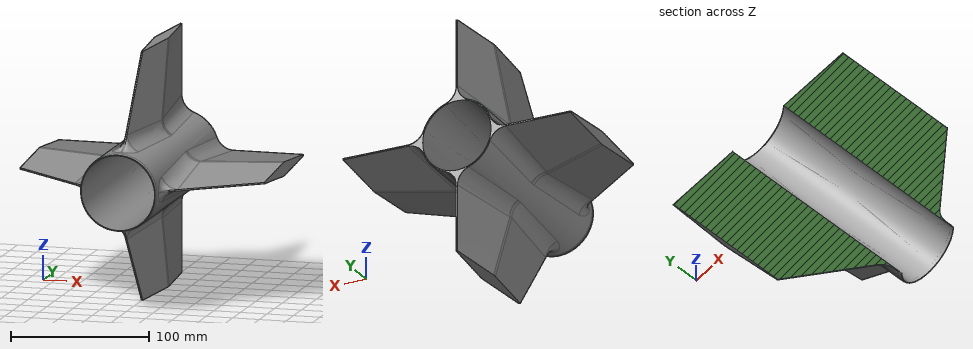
import cadquery as cq

LENGTH = 164.5
TUBE_RADIUS = 28.5
BORE_RADIUS = 27.5
FRONT_TAPER_LENGTH = 3.0
FRONT_TAPER_DEPTH = 0.4

FIN_COUNT = 4
FIN_ANGLE = 360 / FIN_COUNT
ROOT_RADIUS = 18.4
TIP_RADIUS = 92.0
ROOT_LEADING_Y = 6.3
TIP_LEADING_Y = 63.0
ROOT_RIDGE_Y = 84.0
TIP_RIDGE_Y = 114.0
ROOT_THICKNESS = 15.0
TIP_THICKNESS = 10.3
RIDGE_WIDTH = 3.0
EDGE_THICKNESS = 1.1
ROOT_FILLET = 13.5

SEAM_ANGLE = 90
WEDGE_REACH = 1.2 * TIP_RADIUS
SELECT_MARGIN = 0.5


def rotate_about_tube(shape, angle):
    return shape.rotate((0, 0, 0), (0, 1, 0), angle)


def cylinder(radius):
    """Full-length cylinder whose seam lies opposite the first fin."""
    plain = cq.Workplane("XZ").circle(radius).extrude(-LENGTH)
    return rotate_about_tube(plain, SEAM_ANGLE)


def fin_section(leading_y, ridge_y, thickness):
    """Flattened diamond outline as (X, Y) points."""
    right_side = [
        (EDGE_THICKNESS / 2, leading_y),
        (thickness / 2, ridge_y - RIDGE_WIDTH / 2),
        (thickness / 2, ridge_y + RIDGE_WIDTH / 2),
        (EDGE_THICKNESS / 2, LENGTH),
    ]
    left_side = [(-x, y) for x, y in reversed(right_side)]
    return right_side + left_side


def make_fin():
    """Fin pointing along +Z, lofted from root to tip."""
    return (
        cq.Workplane("XY", origin=(0, 0, ROOT_RADIUS))
        .polyline(fin_section(ROOT_LEADING_Y, ROOT_RIDGE_Y, ROOT_THICKNESS))
        .close()
        .workplane(offset=TIP_RADIUS - ROOT_RADIUS)
        .polyline(fin_section(TIP_LEADING_Y, TIP_RIDGE_Y, TIP_THICKNESS))
        .close()
        .loft(ruled=True)
    )


def is_root_edge(edge):
    """True for an edge where the fin meets the tube surface."""
    middle = edge.positionAt(0.5)
    on_tube = abs((middle.x**2 + middle.z**2) ** 0.5 - TUBE_RADIUS) < SELECT_MARGIN
    between_ends = SELECT_MARGIN < middle.y < LENGTH - SELECT_MARGIN
    return on_tube and between_ends and edge.geomType() != "LINE"


def make_quarter():
    """Sector of the tube carrying one fin blended into its surface."""
    body = cylinder(TUBE_RADIUS).union(make_fin())
    root_edges = [edge for edge in body.edges().vals() if is_root_edge(edge)]
    blended = cq.Workplane(body.val().fillet(ROOT_FILLET, root_edges))
    sector = (
        cq.Workplane("XZ")
        .polyline([(0, 0), (WEDGE_REACH, WEDGE_REACH), (-WEDGE_REACH, WEDGE_REACH)])
        .close()
        .extrude(-LENGTH)
    )
    return blended.cut(cylinder(BORE_RADIUS)).intersect(sector)


def make_rim_cutter():
    """Ring that leaves a slight taper around the front rim."""
    outside_radius = TUBE_RADIUS + FRONT_TAPER_DEPTH
    return (
        cq.Workplane("XY")
        .polyline([
            (TUBE_RADIUS - FRONT_TAPER_DEPTH, 0),
            (TUBE_RADIUS, FRONT_TAPER_LENGTH),
            (outside_radius, FRONT_TAPER_LENGTH),
            (outside_radius, 0),
        ])
        .close()
        .revolve(360, (0, 0, 0), (0, 1, 0))
    )


quarter = make_quarter()
finned_tube = quarter
for index in range(1, FIN_COUNT):
    finned_tube = finned_tube.union(rotate_about_tube(quarter, index * FIN_ANGLE))

result = finned_tube.cut(make_rim_cutter())